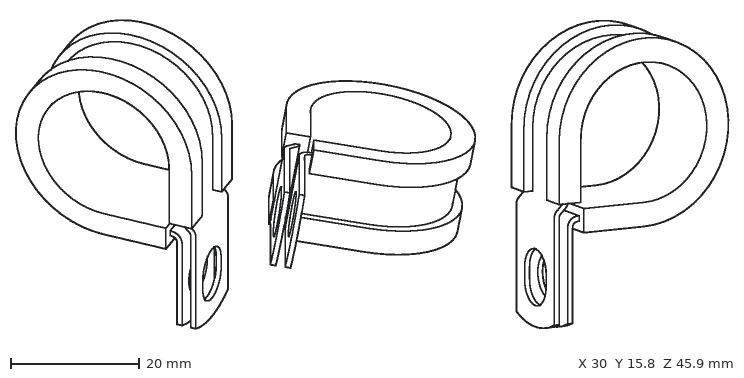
import cadquery as cq
import math

height = 45.85
width = 15.75
outer_radius = 14.975
cushion_thickness = 3.85
vertical_end_drop = 10.1
horizontal_end = 10.6
groove_width = 7.55
groove_depth = 1.55

strap_thickness = 0.85
strap_width = 12.55
tab_gap = 1.45
tab_bend_radius = 1.35
jog_bend_radius = 0.9
jog_angle = math.radians(45)

hole_diameter = 7.1
outer_slot_length = 9.0
hole_drop = 22.98
tab_end_sag = 1.38

inner_radius = outer_radius - cushion_thickness
groove_radius = outer_radius - groove_depth
strap_radius = groove_radius - strap_thickness / 2
tab_bottom = outer_radius - height
outer_tab_x = outer_radius - strap_thickness / 2
inner_tab_x = outer_tab_x - tab_gap - strap_thickness


def loop_band(inside, outside, depth):
    """Three-quarter ring with two straight legs, centred across the width."""
    half = math.sqrt(0.5)
    return (
        cq.Workplane("XZ")
        .moveTo(outside, -vertical_end_drop)
        .lineTo(outside, 0)
        .threePointArc((-outside * half, outside * half), (0, -outside))
        .lineTo(horizontal_end, -outside)
        .lineTo(horizontal_end, -inside)
        .lineTo(0, -inside)
        .threePointArc((-inside * half, inside * half), (inside, 0))
        .lineTo(inside, -vertical_end_drop)
        .close()
        .extrude(depth / 2, both=True)
    )


def strap():
    """Metal strip swept along its bent centreline, from the inner tab to the outer tab."""
    half = math.sqrt(0.5)
    jog_shift = outer_tab_x - strap_radius
    bend_run = jog_bend_radius * math.sin(jog_angle)
    bend_shift = jog_bend_radius * (1 - math.cos(jog_angle))
    jog_drop = 2 * bend_run + (jog_shift - 2 * bend_shift) / math.tan(jog_angle)
    jog_top = -vertical_end_drop
    jog_bottom = jog_top - jog_drop
    path = (
        cq.Workplane("XZ")
        .moveTo(inner_tab_x, tab_bottom)
        .lineTo(inner_tab_x, -strap_radius - tab_bend_radius)
        .tangentArcPoint((inner_tab_x - tab_bend_radius, -strap_radius), relative=False)
        .lineTo(0, -strap_radius)
        .threePointArc((-strap_radius * half, strap_radius * half), (strap_radius, 0))
        .lineTo(strap_radius, jog_top)
        .tangentArcPoint((strap_radius + bend_shift, jog_top - bend_run), relative=False)
        .lineTo(outer_tab_x - bend_shift, jog_bottom + bend_run)
        .tangentArcPoint((outer_tab_x, jog_bottom), relative=False)
        .lineTo(outer_tab_x, tab_bottom)
    )
    section = cq.Workplane("XY", origin=(inner_tab_x, 0, tab_bottom)).rect(strap_thickness, strap_width)
    return section.sweep(path)


def tab_end_waste():
    """Material below the curved lower edge of both tabs."""
    corner = tab_bottom + tab_end_sag
    half_width = strap_width / 2
    return (
        cq.Workplane("YZ")
        .moveTo(-half_width, corner)
        .threePointArc((0, tab_bottom), (half_width, corner))
        .lineTo(half_width, tab_bottom)
        .lineTo(-half_width, tab_bottom)
        .close()
        .extrude(outer_radius)
    )


def bolt_hole():
    """Round clearance hole through the inner tab."""
    return (
        cq.Workplane("YZ", origin=(inner_tab_x, 0, -hole_drop))
        .circle(hole_diameter / 2)
        .extrude(strap_thickness, both=True)
    )


def bolt_slot():
    """Upright slot through the outer tab, in line with the round hole."""
    return (
        cq.Workplane("YZ", origin=(outer_tab_x, 0, -hole_drop))
        .slot2D(outer_slot_length, hole_diameter, 90)
        .extrude(strap_thickness, both=True)
    )


cushion = loop_band(inner_radius, outer_radius, width)
groove = loop_band(groove_radius, outer_radius, groove_width)
metal = strap().cut(tab_end_waste()).cut(bolt_hole()).cut(bolt_slot())

result = cushion.cut(groove).union(metal)